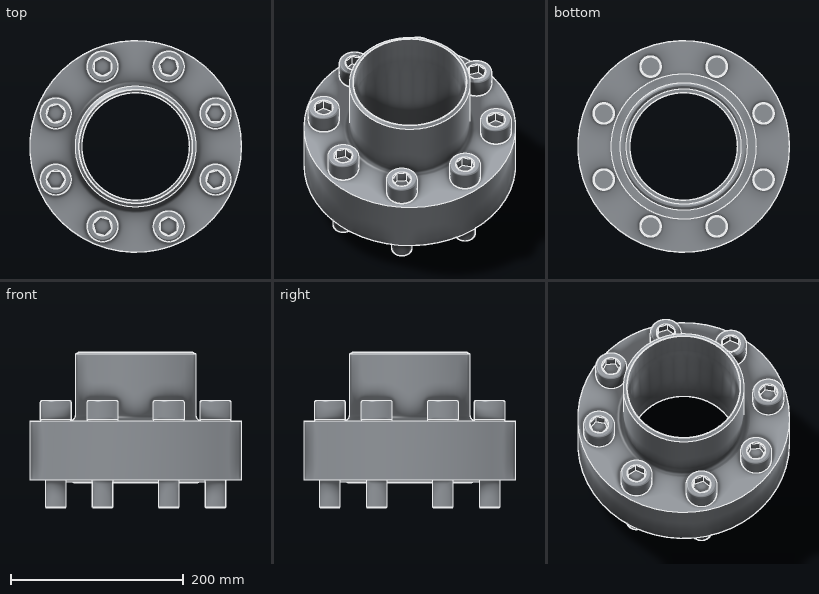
import cadquery as cq
import math

FLANGE_DIAMETER = 245.0
FLANGE_THICKNESS = 68.0
RAISED_FACE_DIAMETER = 168.0
RAISED_FACE_HEIGHT = 2.5
BORE_DIAMETER = 124.0

NECK_DIAMETER = 139.8
NECK_HEIGHT = 79.8
NECK_FILLET = 7.3
PIPE_BORE_DIAMETER = 130.7
WELD_LAND_DIAMETER = 132.0
WELD_BEVEL_HEIGHT = 2.2
PIPE_BORE_DEPTH = 38.7
BORE_TAPER_LENGTH = 90.5

SEAL_OUTER_DIAMETER = 147.3
SEAL_CORD_DIAMETER = 7.0
SEAL_PROTRUSION = 1.0

SCREW_COUNT = 8
BOLT_CIRCLE_DIAMETER = 200.0
FIRST_SCREW_ANGLE = 180 / SCREW_COUNT
SCREW_HOLE_DIAMETER = 25.0
SHANK_DIAMETER = 24.0
SHANK_LENGTH = 100.0
SHANK_TIP_DIAMETER = 22.0
HEAD_DIAMETER = 36.0
HEAD_HEIGHT = SHANK_DIAMETER
HEAD_FILLET = 2.5
HEAD_CHAMFER_WIDTH = 0.7
HEAD_CHAMFER_HEIGHT = 1.7
SOCKET_ACROSS_FLATS = 19.0
SOCKET_DEPTH = 14.5
SOCKET_RIM_DEPTH = 1.2

FLANGE_TOP = FLANGE_THICKNESS
NECK_TOP = FLANGE_TOP + NECK_HEIGHT
TAPER_TOP = NECK_TOP - PIPE_BORE_DEPTH
TAPER_BOTTOM = TAPER_TOP - BORE_TAPER_LENGTH
RAISED_FACE_LEVEL = -RAISED_FACE_HEIGHT

SOCKET_CORNER_DIAMETER = SOCKET_ACROSS_FLATS / math.cos(math.radians(30))
SEAL_RADIUS = (SEAL_OUTER_DIAMETER - SEAL_CORD_DIAMETER) / 2
SEAL_CENTER_LEVEL = RAISED_FACE_LEVEL - SEAL_PROTRUSION + SEAL_CORD_DIAMETER / 2


def revolve_about_z(profile):
    """Turn a closed radius-height profile around the Z axis."""
    return profile.close().revolve(360, (0, 0, 0), (0, 1, 0))


def screw_angles():
    """Directions of the screws around the flange, in degrees."""
    step = 360 / SCREW_COUNT
    return [FIRST_SCREW_ANGLE + index * step for index in range(SCREW_COUNT)]


def make_flange_body():
    """Flange disc, raised face, filleted neck with weld bevel, and tapered bore."""
    neck_radius = NECK_DIAMETER / 2
    profile = (
        cq.Workplane("XZ")
        .moveTo(BORE_DIAMETER / 2, RAISED_FACE_LEVEL)
        .lineTo(RAISED_FACE_DIAMETER / 2, RAISED_FACE_LEVEL)
        .lineTo(RAISED_FACE_DIAMETER / 2, 0)
        .lineTo(FLANGE_DIAMETER / 2, 0)
        .lineTo(FLANGE_DIAMETER / 2, FLANGE_TOP)
        .lineTo(neck_radius + NECK_FILLET, FLANGE_TOP)
        .radiusArc((neck_radius, FLANGE_TOP + NECK_FILLET), NECK_FILLET)
        .lineTo(neck_radius, NECK_TOP - WELD_BEVEL_HEIGHT)
        .lineTo(WELD_LAND_DIAMETER / 2, NECK_TOP)
        .lineTo(PIPE_BORE_DIAMETER / 2, NECK_TOP)
        .lineTo(PIPE_BORE_DIAMETER / 2, TAPER_TOP)
        .lineTo(BORE_DIAMETER / 2, TAPER_BOTTOM)
    )
    return revolve_about_z(profile)


def make_seal_groove():
    """Ring-shaped cut, one cord wide, that lets the seal ring stand proud of the face."""
    groove_depth = SEAL_CORD_DIAMETER - SEAL_PROTRUSION
    inner_radius = SEAL_OUTER_DIAMETER / 2 - SEAL_CORD_DIAMETER
    return (
        cq.Workplane("XY", origin=(0, 0, RAISED_FACE_LEVEL))
        .circle(SEAL_OUTER_DIAMETER / 2)
        .circle(inner_radius)
        .extrude(groove_depth)
    )


def make_screw_holes():
    """Clearance holes through the flange disc."""
    return (
        cq.Workplane("XY")
        .polarArray(BOLT_CIRCLE_DIAMETER / 2, FIRST_SCREW_ANGLE, 360, SCREW_COUNT)
        .circle(SCREW_HOLE_DIAMETER / 2)
        .extrude(FLANGE_TOP)
    )


def make_flange():
    """Complete flange, grooved and drilled."""
    return make_flange_body().cut(make_seal_groove()).cut(make_screw_holes())


def make_seal_ring():
    """Round-cord ring standing slightly proud of the raised face."""
    return (
        cq.Workplane("XZ")
        .center(SEAL_RADIUS, SEAL_CENTER_LEVEL)
        .circle(SEAL_CORD_DIAMETER / 2)
        .revolve(360, (-SEAL_RADIUS, 0, 0), (-SEAL_RADIUS, 1, 0))
    )


def make_screw_blank():
    """Turned screw without its socket, with the underside of the head at zero."""
    head_radius = HEAD_DIAMETER / 2
    shank_radius = SHANK_DIAMETER / 2
    tip_radius = SHANK_TIP_DIAMETER / 2
    tip_chamfer = shank_radius - tip_radius
    profile = (
        cq.Workplane("XZ")
        .moveTo(0, -SHANK_LENGTH)
        .lineTo(tip_radius, -SHANK_LENGTH)
        .lineTo(shank_radius, -SHANK_LENGTH + tip_chamfer)
        .lineTo(shank_radius, 0)
        .lineTo(head_radius - HEAD_CHAMFER_WIDTH, 0)
        .lineTo(head_radius, HEAD_CHAMFER_HEIGHT)
        .lineTo(head_radius, HEAD_HEIGHT - HEAD_FILLET)
        .radiusArc((head_radius - HEAD_FILLET, HEAD_HEIGHT), -HEAD_FILLET)
        .lineTo(0, HEAD_HEIGHT)
    )
    return revolve_about_z(profile)


def make_socket():
    """Hexagonal socket with a conical rim through its corners."""
    hexagon = (
        cq.Workplane("XY", origin=(0, 0, HEAD_HEIGHT))
        .polygon(6, SOCKET_CORNER_DIAMETER)
        .extrude(-SOCKET_DEPTH)
    )
    rim = (
        cq.Workplane("XY", origin=(0, 0, HEAD_HEIGHT))
        .circle(SOCKET_CORNER_DIAMETER / 2)
        .workplane(offset=-SOCKET_RIM_DEPTH)
        .circle(SOCKET_ACROSS_FLATS / 2)
        .loft()
    )
    return hexagon.union(rim)


def make_screw(angle):
    """Socket head screw seated on the flange at the given angle."""
    socket = make_socket().rotate((0, 0, 0), (0, 0, 1), -FIRST_SCREW_ANGLE)
    screw = make_screw_blank().cut(socket)
    seated = screw.translate((BOLT_CIRCLE_DIAMETER / 2, 0, FLANGE_TOP))
    return seated.rotate((0, 0, 0), (0, 0, 1), angle)


flange = make_flange()
seal_ring = make_seal_ring()
screws = [make_screw(angle) for angle in screw_angles()]

result = cq.Compound.makeCompound(
    [flange.val(), seal_ring.val(), *[screw.val() for screw in screws]]
)